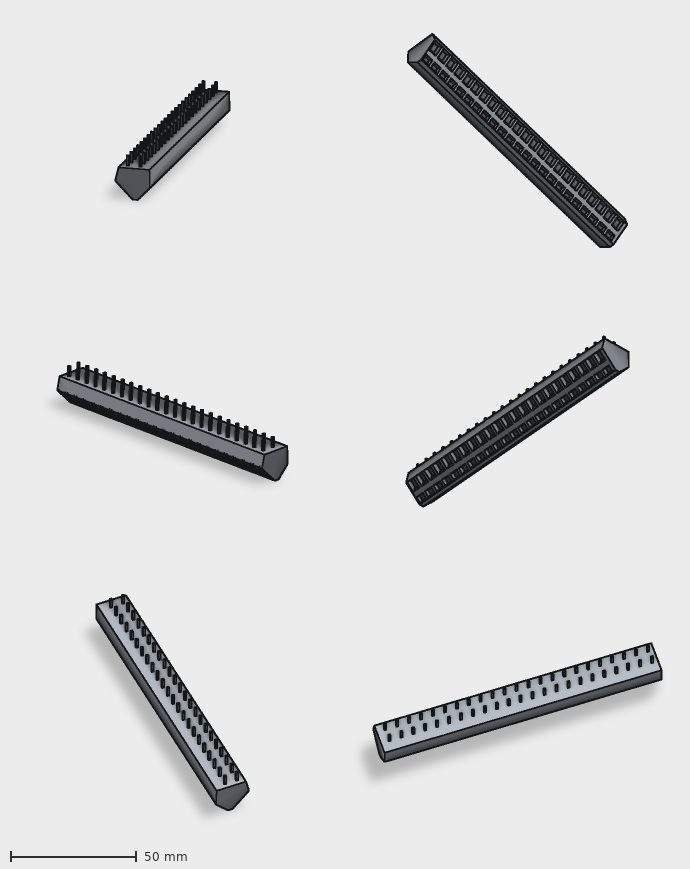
import cadquery as cq

length = 116.0
width = 14.3
body_height = 12.9
nose_bottom = 7.2
nose_top = 7.7
shoulder_height = 5.2
top_left_x = 1.3
right_draft = 0.17
bottom_left_x = nose_bottom
bottom_right_x = 9.2

contact_count = 23
front_margin = 3.6
back_margin = 2.4
pitch = (length - front_margin - back_margin) / (contact_count - 1)

pin_size = 0.8
pin_height = 4.2
first_pin_x = 4.2
pin_row_spacing = 5.2

opening_width = 3.7
wire_bottom = 0.3
wire_top = 2.2
wire_run = 1.7
button_bottom = 4.0
button_top = nose_bottom
button_ledge = 0.5
button_face_height = 1.9
button_face_lean = 0.41
button_run = 0.5


def slope_x(height):
    """X position of the 45 degree slope at a given height."""
    return nose_bottom - height


def contact_y(index):
    """Y position of a contact, counted from the -Y end."""
    return front_margin + index * pitch


def housing():
    """Solid bar from the XZ outline, without openings or pins."""
    outline = [
        (0, nose_top),
        (0, nose_bottom),
        (bottom_left_x, 0),
        (bottom_right_x, 0),
        (width, shoulder_height),
        (width - right_draft, body_height),
        (top_left_x, body_height),
    ]
    return cq.Workplane("XZ").polyline(outline).close().extrude(-length)


def opening(profile, y):
    """Prism with the given XZ profile, centred on y."""
    start = y - opening_width / 2
    return cq.Workplane("XZ", origin=(0, start, 0)).polyline(profile).close().extrude(-opening_width)


def wire_profile():
    """Square-cut pocket low on the slope."""
    lower_x = slope_x(wire_bottom)
    upper_x = slope_x(wire_top)
    return [
        (lower_x, wire_bottom),
        (lower_x + wire_run, wire_bottom + wire_run),
        (upper_x + wire_run, wire_top + wire_run),
        (upper_x, wire_top),
    ]


def button_profile():
    """Pocket high on the slope, leaving a button face between a ledge and a slot."""
    face_x = slope_x(button_bottom) + button_ledge
    face_bottom = button_bottom + button_ledge
    face_top = face_bottom + button_face_height
    face_top_x = face_x + button_face_lean
    slot_x = face_top_x + button_run
    slot_bottom = face_top + button_run
    upper_x = slope_x(button_top)
    roof_run = (slot_x - slope_x(slot_bottom)) / 2
    return [
        (slope_x(button_bottom), button_bottom),
        (face_x, face_bottom),
        (face_top_x, face_top),
        (slot_x, slot_bottom),
        (upper_x + roof_run, button_top + roof_run),
        (upper_x, button_top),
    ]


def pins(y):
    """The two pins of one contact, standing on the top face."""
    centres = [(first_pin_x, y), (first_pin_x + pin_row_spacing, y)]
    return (
        cq.Workplane("XY", origin=(0, 0, body_height))
        .pushPoints(centres)
        .rect(pin_size, pin_size)
        .extrude(pin_height)
    )


result = housing()
for contact in range(contact_count):
    y = contact_y(contact)
    result = result.cut(opening(wire_profile(), y))
    result = result.cut(opening(button_profile(), y))
    result = result.union(pins(y))